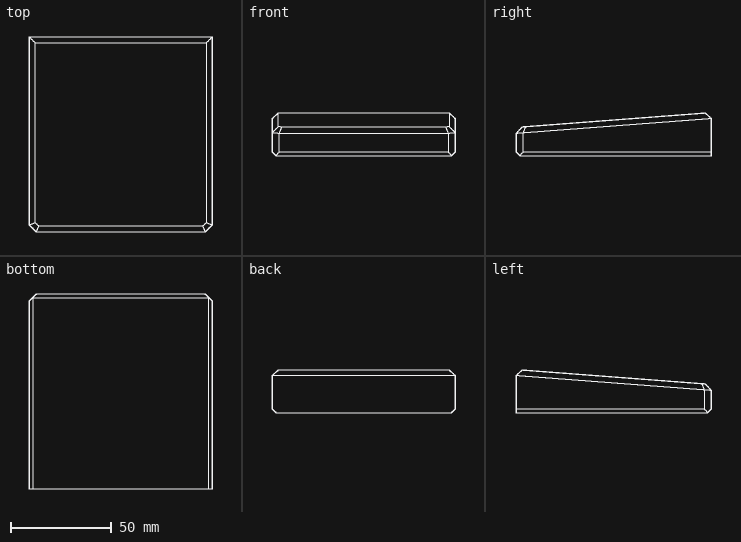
import cadquery as cq
import math

width = 91.0
depth = 97.0
peak_height = 21.45
front_height = 14.3

corner_chamfer = 3.5
top_chamfer = 3.0
bottom_chamfer = 2.0

peak_to_front = depth - top_chamfer
slope_angle = math.atan((peak_height - front_height) / peak_to_front)
rear_height = peak_height + top_chamfer * math.sin(slope_angle)


def wedge_block():
    """Wedge with a flat underside and a top that rises towards the rear."""
    side_profile = [
        (-depth / 2, 0),
        (depth / 2, 0),
        (depth / 2, rear_height),
        (-depth / 2, front_height),
    ]
    return cq.Workplane("YZ").polyline(side_profile).close().extrude(width / 2, both=True)


def underside_bevels():
    """Triangular bars that bevel the front and side edges of the underside."""
    bevel = [(0, 0), (bottom_chamfer, 0), (0, bottom_chamfer)]
    left = (
        cq.Workplane("XZ", origin=(-width / 2, 0, 0))
        .polyline(bevel)
        .close()
        .extrude(depth / 2, both=True)
    )
    right = left.mirror("YZ")
    front = (
        cq.Workplane("YZ", origin=(0, -depth / 2, 0))
        .polyline(bevel)
        .close()
        .extrude(width / 2, both=True)
    )
    return left.union(right).union(front)


def wedge_case():
    """Wedge with bevelled front corners, top rim and underside edges."""
    case = wedge_block()
    case = case.faces("<Y").edges("|Z").chamfer(corner_chamfer)
    case = case.faces(">Z").edges().chamfer(top_chamfer)
    return case.cut(underside_bevels())


case = wedge_case().solids()

result = cq.Compound.makeCompound([case.val()])